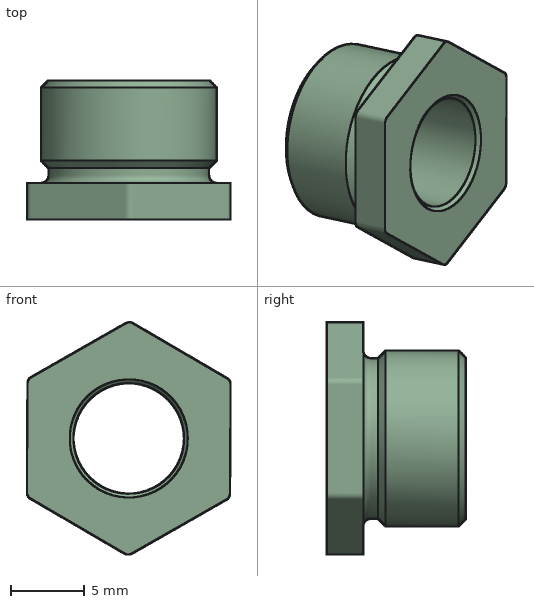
import cadquery as cq
import math

HEAD_HEIGHT = 15.85
CORNER_RADIUS = 0.5
HEAD_THICKNESS = 2.5
HEAD_TILT = -0.3

TOTAL_LENGTH = 9.5
SHANK_RADIUS = 6.0
END_CHAMFER = 0.5

GROOVE_RADIUS = 5.48
GROOVE_WIDTH = 1.0
GROOVE_FILLET = 0.5
GROOVE_CHAMFER = SHANK_RADIUS - GROOVE_RADIUS

BORE_RADIUS = 3.75
BORE_CHAMFER = 0.27


def make_head():
    corner_arc_centre = HEAD_HEIGHT / 2 - CORNER_RADIUS
    sharp_corner = corner_arc_centre + CORNER_RADIUS / math.cos(math.radians(30))
    return (
        cq.Workplane("XZ")
        .transformed(rotate=(0, 0, 90 + HEAD_TILT))
        .polygon(6, 2 * sharp_corner)
        .extrude(-HEAD_THICKNESS)
        .edges("|Y")
        .fillet(CORNER_RADIUS)
    )


def make_shank():
    fillet_end = HEAD_THICKNESS + GROOVE_FILLET
    fillet_outer = GROOVE_RADIUS + GROOVE_FILLET
    arc_offset = GROOVE_FILLET * math.sqrt(0.5)
    groove_end = HEAD_THICKNESS + GROOVE_WIDTH
    return (
        cq.Workplane("XY")
        .moveTo(0, HEAD_THICKNESS)
        .lineTo(fillet_outer, HEAD_THICKNESS)
        .threePointArc(
            (fillet_outer - arc_offset, fillet_end - arc_offset),
            (GROOVE_RADIUS, fillet_end),
        )
        .lineTo(GROOVE_RADIUS, groove_end)
        .lineTo(SHANK_RADIUS, groove_end + GROOVE_CHAMFER)
        .lineTo(SHANK_RADIUS, TOTAL_LENGTH - END_CHAMFER)
        .lineTo(SHANK_RADIUS - END_CHAMFER, TOTAL_LENGTH)
        .lineTo(0, TOTAL_LENGTH)
        .close()
        .revolve(360, (0, 0, 0), (0, 1, 0))
    )


def make_bore():
    return (
        cq.Workplane("XY")
        .lineTo(BORE_RADIUS + BORE_CHAMFER, 0)
        .lineTo(BORE_RADIUS, BORE_CHAMFER)
        .lineTo(BORE_RADIUS, TOTAL_LENGTH)
        .lineTo(0, TOTAL_LENGTH)
        .close()
        .revolve(360, (0, 0, 0), (0, 1, 0))
    )


result = make_head().union(make_shank()).cut(make_bore())